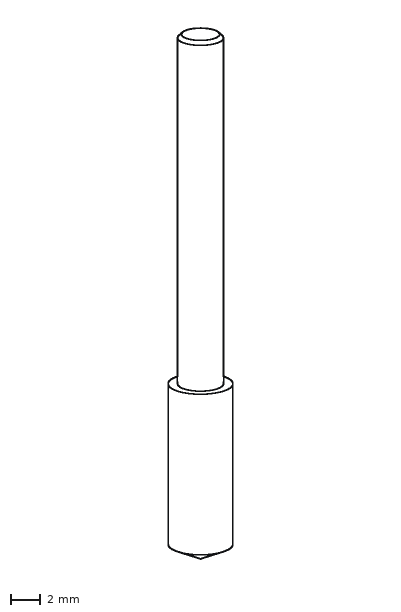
import cadquery as cq

total_length = 38.1
barrel_diameter = 4.45
barrel_top = 12.73
tip_height = 1.05
rod_diameter = 3.15
rod_edge_chamfer = 0.25

barrel_radius = barrel_diameter / 2
rod_radius = rod_diameter / 2


def make_barrel():
    """Cylindrical barrel with a flat top and a conical point at the origin."""
    return (
        cq.Workplane("XZ")
        .lineTo(barrel_radius, tip_height)
        .lineTo(barrel_radius, barrel_top)
        .lineTo(0, barrel_top)
        .close()
        .revolve(360, (0, 0, 0), (0, 1, 0))
    )


def make_rod():
    """Round rod standing on the barrel, with a chamfered top edge."""
    return (
        cq.Workplane("XY", origin=(0, 0, barrel_top))
        .circle(rod_radius)
        .extrude(total_length - barrel_top)
        .faces(">Z")
        .edges()
        .chamfer(rod_edge_chamfer)
    )


barrel = make_barrel()
rod = make_rod()

result = cq.Compound.makeCompound([barrel.val(), rod.val()])